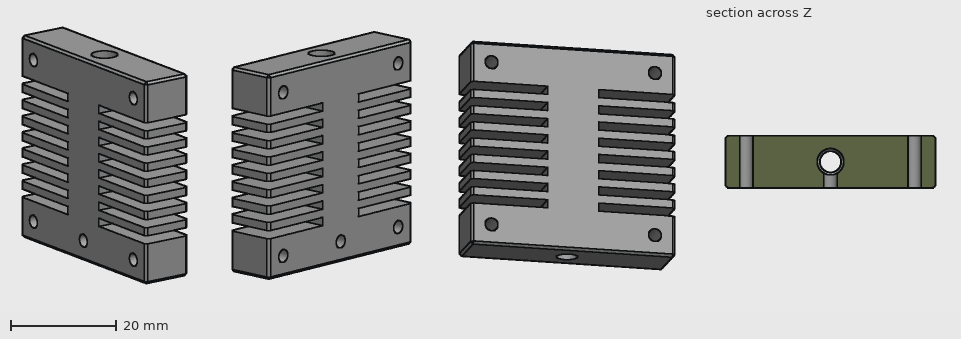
import cadquery as cq
import math

WIDTH = 40.0
THICKNESS = 10.0
HEIGHT = 40.0
EDGE_CHAMFER = 0.5

CORE_WIDTH = 10.0
SLOT_COUNT = 8
SLOT_HEIGHT = 1.6
SLOT_PITCH = 3.2

MOUNT_HOLE_DIAMETER = 2.5
MOUNT_HOLE_SPACING = 32.0

WIDE_BORE_DIAMETER = 5.0
NARROW_BORE_DIAMETER = 4.0
BORE_FLOOR = 2.0
DRILL_POINT_ANGLE = 118.0

SET_SCREW_DIAMETER = 2.5
SET_SCREW_Z = -MOUNT_HOLE_SPACING / 2


def make_block():
    """Block with every outer edge chamfered."""
    return cq.Workplane("XY").box(WIDTH, THICKNESS, HEIGHT).edges().chamfer(EDGE_CHAMFER)


def make_slots():
    """Evenly spaced slots on both sides, centred on the block height."""
    depth = (WIDTH - CORE_WIDTH) / 2
    center_x = (CORE_WIDTH + depth) / 2
    first_z = -SLOT_PITCH * (SLOT_COUNT - 1) / 2
    centers = [
        (side * center_x, first_z + index * SLOT_PITCH)
        for side in (-1, 1)
        for index in range(SLOT_COUNT)
    ]
    return (
        cq.Workplane("XZ")
        .pushPoints(centers)
        .rect(depth, SLOT_HEIGHT)
        .extrude(THICKNESS / 2, both=True)
    )


def make_mount_holes():
    """Four through holes on a square pattern."""
    return (
        cq.Workplane("XZ")
        .rect(MOUNT_HOLE_SPACING, MOUNT_HOLE_SPACING, forConstruction=True)
        .vertices()
        .circle(MOUNT_HOLE_DIAMETER / 2)
        .extrude(THICKNESS / 2, both=True)
    )


def make_bore():
    """Stepped vertical bore with a drill-point cone between its two diameters."""
    wide_radius = WIDE_BORE_DIAMETER / 2
    narrow_radius = NARROW_BORE_DIAMETER / 2
    top_z = HEIGHT / 2
    cone_height = (wide_radius - narrow_radius) / math.tan(math.radians(DRILL_POINT_ANGLE / 2))
    cone_top_z = BORE_FLOOR - top_z
    cone_bottom_z = cone_top_z - cone_height
    return (
        cq.Workplane("XZ")
        .moveTo(0, -top_z)
        .lineTo(narrow_radius, -top_z)
        .lineTo(narrow_radius, cone_bottom_z)
        .lineTo(wide_radius, cone_top_z)
        .lineTo(wide_radius, top_z)
        .lineTo(0, top_z)
        .close()
        .revolve(360, (0, 0), (0, 1))
    )


def make_set_screw_hole():
    """Hole running from the front face to the bore axis."""
    return (
        cq.Workplane("XZ")
        .center(0, SET_SCREW_Z)
        .circle(SET_SCREW_DIAMETER / 2)
        .extrude(THICKNESS / 2)
    )


result = (
    make_block()
    .cut(make_slots())
    .cut(make_mount_holes())
    .cut(make_bore())
    .cut(make_set_screw_hole())
)